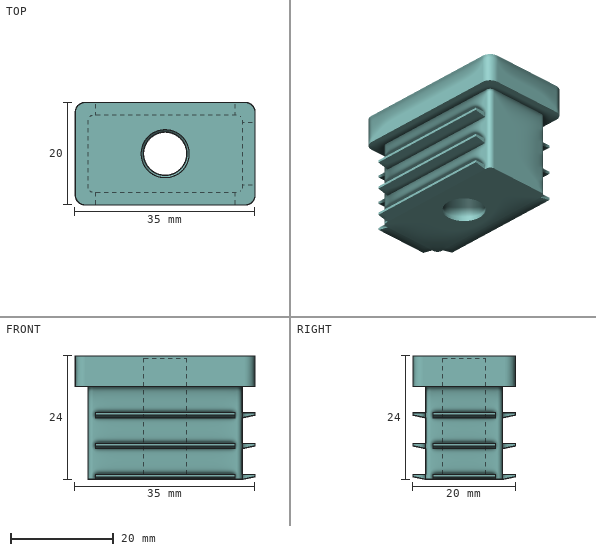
import cadquery as cq

length = 35.0
width = 20.0
height = 24.0
cap_height = 6.0
cap_corner_radius = 2.0

body_length = 30.0
body_inset = (length - body_length) / 2
body_width = width - 2 * body_inset
body_height = height - cap_height
body_corner_radius = 1.0

fin_root_thickness = 1.0
fin_tip_thickness = 0.5
fin_end_margin = 1.45
fin_pitch = 6.0
fin_count = 3
fin_length_along_x = body_length - 2 * fin_end_margin
fin_length_along_y = body_width - 2 * fin_end_margin

hole_diameter = 8.35
hole_chamfer = 0.5


def rounded_block(block_length, block_width, block_height, corner_radius):
    """Block standing on Z = 0 with rounded vertical edges."""
    block = cq.Workplane("XY").box(block_length, block_width, block_height, centered=(True, True, False))
    return block.edges("|Z").fillet(corner_radius)


def fin(fin_length, root_offset, base_z, turn):
    """One fin facing +X, turned about Z to face another side."""
    tip_offset = root_offset + body_inset
    top_z = base_z + fin_root_thickness
    profile = [
        (root_offset, base_z),
        (tip_offset, top_z - fin_tip_thickness),
        (tip_offset, top_z),
        (root_offset, top_z),
    ]
    blade = cq.Workplane("XZ").polyline(profile).close().extrude(fin_length / 2, both=True)
    return blade.rotate((0, 0, 0), (0, 0, 1), turn)


body = rounded_block(body_length, body_width, body_height, body_corner_radius)
cap = rounded_block(length, width, cap_height, cap_corner_radius).translate((0, 0, body_height))
result = body.union(cap)

fin_sides = [
    (fin_length_along_y, body_length / 2, 0),
    (fin_length_along_x, body_width / 2, 90),
    (fin_length_along_x, body_width / 2, -90),
]
for fin_length, root_offset, turn in fin_sides:
    for level in range(fin_count):
        result = result.union(fin(fin_length, root_offset, level * fin_pitch, turn))

hole = cq.Workplane("XY").circle(hole_diameter / 2).extrude(height)
mouth = (
    cq.Workplane("XY")
    .workplane(offset=height - hole_chamfer)
    .circle(hole_diameter / 2)
    .workplane(offset=hole_chamfer)
    .circle(hole_diameter / 2 + hole_chamfer)
    .loft(ruled=True)
)
result = result.cut(hole).cut(mouth)